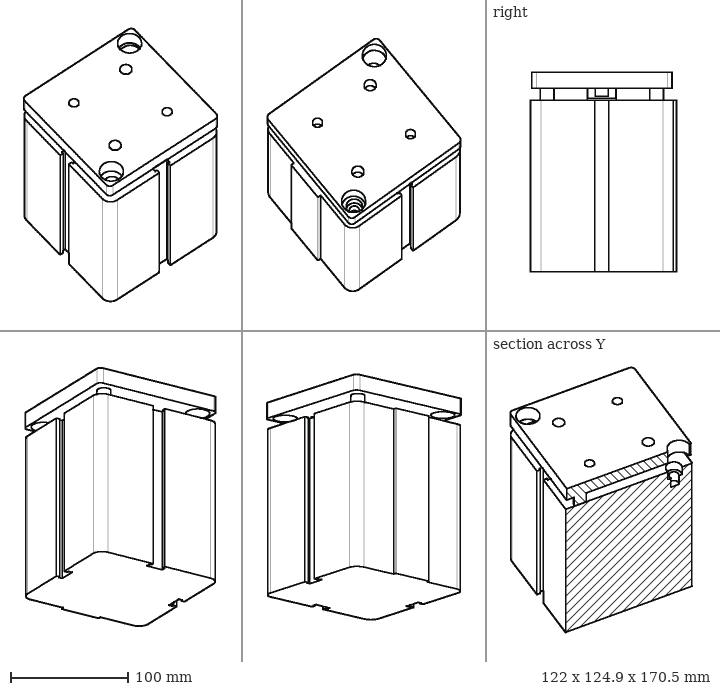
import cadquery as cq


total_height = 170.5
plate_thickness = 14.0
plate_gap = 9.9
housing_height = total_height - plate_thickness - plate_gap

housing_side = 122.0
housing_corner_radius = 9.0
lug_width = 37.5
lug_projection = 2.9
lug_corner_radius = 0.7

slot_mouth_width = 12.0
slot_inner_width = 15.5
slot_lip = 3.4
slot_depth = 7.0
slot_directions = (0, 90, 180)

mount_offset = 44.5
mount_hole_diameter = 8.5
mount_hole_depth = 19.5
mount_counterbore_diameter = 14.0
mount_counterbore_depth = 9.0

plate_side = 119.9
plate_corner_radius = 4.0
access_offset = 47.7
access_hole_diameter = 20.5
tool_hole_offset = 28.3
screw_hole_diameter = 8.5
dowel_hole_diameter = 10.2

rod_diameter = 25.0
rod_shoulder_height = 1.7
neck_diameter = 24.5
flats_start = 3.0
flats_width = 22.0

guide_diameter = 12.0
guide_offset = 46.7


def diagonal(offset, slope):
    """Two points mirrored through the axis, on the diagonal y = slope * x."""
    return [(-offset, -slope * offset), (offset, slope * offset)]


def rounded_block(side, height, corner_radius, base_z):
    """Square block with rounded vertical edges, standing on base_z."""
    block = cq.Workplane("XY", origin=(0, 0, base_z)).rect(side, side).extrude(height)
    return block.edges("|Z").fillet(corner_radius)


def make_lug():
    """Flat lug along the full height of the +Y face."""
    lug = (
        cq.Workplane("XY", origin=(0, housing_side / 2, 0))
        .rect(lug_width, 2 * lug_projection)
        .extrude(housing_height)
    )
    return lug.edges("|Z and >Y").fillet(lug_corner_radius)


def make_slot(direction):
    """T-slot cutter for the -X face, turned about Z by direction degrees."""
    face_x = -housing_side / 2
    mouth = (
        cq.Workplane("XY", origin=(face_x, 0, 0))
        .rect(2 * slot_depth, slot_mouth_width)
        .extrude(housing_height)
    )
    undercut = (
        cq.Workplane("XY", origin=(face_x + (slot_lip + slot_depth) / 2, 0, 0))
        .rect(slot_depth - slot_lip, slot_inner_width)
        .extrude(housing_height)
    )
    return mouth.union(undercut).rotate((0, 0, 0), (0, 0, 1), direction)


def make_housing():
    """Square housing with lug, three T-slots and counterbored mounting holes."""
    housing = rounded_block(housing_side, housing_height, housing_corner_radius, 0)
    housing = housing.union(make_lug())
    for direction in slot_directions:
        housing = housing.cut(make_slot(direction))
    return (
        housing.faces(">Z")
        .workplane(origin=(0, 0, housing_height))
        .pushPoints(diagonal(mount_offset, -1))
        .cboreHole(
            mount_hole_diameter,
            mount_counterbore_diameter,
            mount_counterbore_depth,
            depth=mount_hole_depth,
        )
    )


def make_plate():
    """Tool plate with access holes, screw holes and dowel holes, all through."""
    plate = rounded_block(plate_side, plate_thickness, plate_corner_radius, housing_height + plate_gap)
    hole_pairs = (
        (access_offset, -1, access_hole_diameter),
        (tool_hole_offset, 1, screw_hole_diameter),
        (tool_hole_offset, -1, dowel_hole_diameter),
    )
    for offset, slope, diameter in hole_pairs:
        plate = (
            plate.faces(">Z")
            .workplane(origin=(0, 0, total_height))
            .pushPoints(diagonal(offset, slope))
            .hole(diameter)
        )
    return plate


def make_piston_rod():
    """Rod end: a full-size shoulder and a slimmer neck with two flats facing -X and +X."""
    housing_top = cq.Workplane("XY", origin=(0, 0, housing_height))
    shoulder = housing_top.circle(rod_diameter / 2).extrude(rod_shoulder_height)
    neck = housing_top.circle(neck_diameter / 2).extrude(plate_gap)
    flats = (
        housing_top.workplane(offset=flats_start)
        .rect(2 * neck_diameter, neck_diameter)
        .rect(flats_width, neck_diameter)
        .extrude(plate_gap - flats_start)
    )
    return shoulder.union(neck.cut(flats))


def make_guide_rods():
    """Two plain rods between the housing top and the plate."""
    return (
        cq.Workplane("XY", origin=(0, 0, housing_height))
        .pushPoints(diagonal(guide_offset, 1))
        .circle(guide_diameter / 2)
        .extrude(plate_gap)
    )


def make_moving_unit():
    """Plate, piston rod and guide rods as one solid resting on the housing."""
    return make_plate().union(make_piston_rod()).union(make_guide_rods())


housing = make_housing()
moving_unit = make_moving_unit()

result = cq.Compound.makeCompound([housing.solids().val(), moving_unit.solids().val()])